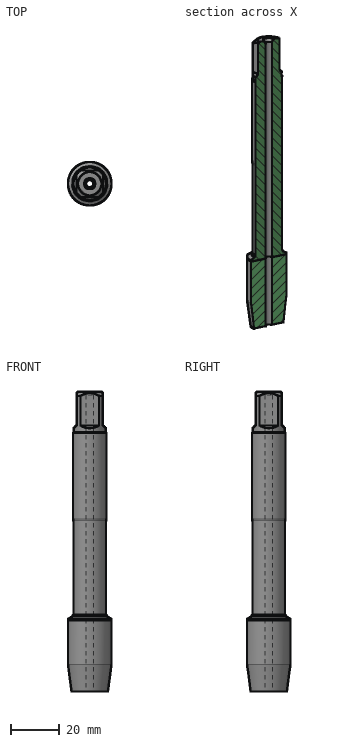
import cadquery as cq

total_length = 125.0
bore_diameter = 3.0

head_diameter = 18.2
head_tip_diameter = 15.2
lead_length = 11.4
head_length = 29.8

collar_rim_height = 0.5
collar_top_diameter = 14.5
collar_top_z = 31.4
neck_diameter = 13.8
neck_start_z = 32.1
neck_end_z = 71.2
shank_diameter = 14.0
shank_start_z = 72.0
shank_shoulder_z = 107.8
shank_end_z = 108.1

drive_diameter = 13.5
drive_across_flats = 11.0
flat_bottom_z = 111.0
drive_tip_diameter = 9.8
drive_tip_height = 1.8
countersink_diameter = 4.6
countersink_depth = 1.4


def revolve_profile(points):
    """Revolve (radius, z) points about the Z axis."""
    return cq.Workplane("XZ").polyline(points).close().revolve(360, (0, 0), (0, 1))


def make_head():
    """Cylindrical cutting head with a tapered lead and a through bore."""
    bore_radius = bore_diameter / 2
    radius = head_diameter / 2
    return revolve_profile([
        (bore_radius, 0),
        (head_tip_diameter / 2, 0),
        (radius, lead_length),
        (radius, head_length),
        (bore_radius, head_length),
    ])


def make_flat_cutter():
    """Material beside one drive flat, with a 45 degree run-out at its lower end."""
    flat_y = -drive_across_flats / 2
    runout_length = drive_diameter - drive_across_flats
    outer_y = flat_y - runout_length
    return (
        cq.Workplane("YZ")
        .polyline([
            (flat_y, flat_bottom_z),
            (flat_y, total_length),
            (outer_y, total_length),
            (outer_y, flat_bottom_z - runout_length),
        ])
        .close()
        .extrude(drive_diameter, both=True)
    )


def make_shank():
    """Stepped shank with a square drive, a bore and a countersunk end."""
    bore_radius = bore_diameter / 2
    drive_radius = drive_diameter / 2
    collar_radius = head_diameter / 2
    shank_radius = shank_diameter / 2
    shank = revolve_profile([
        (bore_radius, head_length),
        (collar_radius, head_length),
        (collar_radius, head_length + collar_rim_height),
        (collar_top_diameter / 2, collar_top_z),
        (neck_diameter / 2, neck_start_z),
        (neck_diameter / 2, neck_end_z),
        (shank_radius, shank_start_z),
        (shank_radius, shank_shoulder_z),
        (drive_radius, shank_end_z),
        (drive_radius, total_length - drive_tip_height),
        (drive_tip_diameter / 2, total_length),
        (countersink_diameter / 2, total_length),
        (bore_radius, total_length - countersink_depth),
    ])
    flat_cutter = make_flat_cutter()
    for angle in (0, 90, 180, 270):
        shank = shank.cut(flat_cutter.rotate((0, 0, 0), (0, 0, 1), angle))
    return shank


head = make_head()
shank = make_shank()
result = cq.Compound.makeCompound([head.val(), shank.val()])